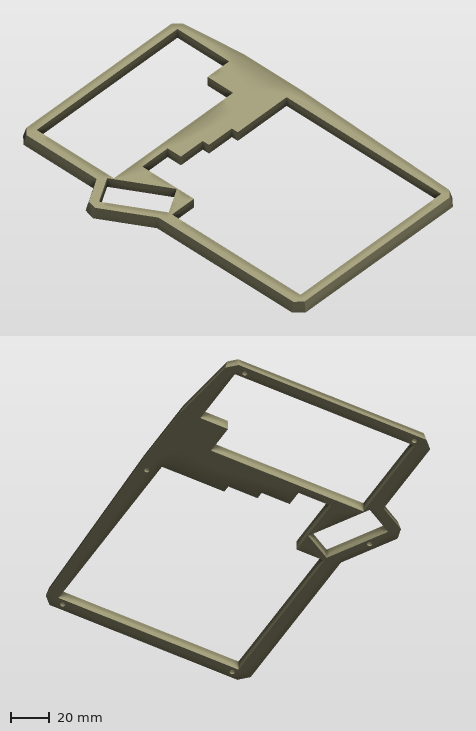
import cadquery as cq
import math

height = 6.0
wall_taper = 15.0
corner_cut = 5.0

frame_width = 199.0
shoulder_y = 120.8
crest_y = 125.0
crest_left_x = 44.5
crest_right_x = 86.0
side_wall = 6.7
bottom_wall = 8.1

window_right = frame_width - side_wall
window_top = 114.2
left_notch_x = 43.1
left_notch_y = 97.9
left_window_right = 61.0
stair_x = [83.5, 79.3, 74.9, 65.6]
stair_y = [77.4, 60.2, 43.7, 24.6]
right_notch_x = 101.9

thumb_angle = 30.0
thumb_corner = (67.7, -10.3)
thumb_length = 36.8
thumb_width = 18.5

hole_diameter = 2.9
hole_depth = 5.5
hole_side_inset = 3.7
hole_low_y = 10.0
hole_high_y = 110.0
crest_hole = (89.5, 119.7)
thumb_hole_along = 12.6
thumb_hole_outward = 2.8


def thumb_point(along, across):
    """Turn a place measured along the tilted thumb window into plate X, Y."""
    angle = math.radians(thumb_angle)
    x = thumb_corner[0] + along * math.cos(angle) - across * math.sin(angle)
    y = thumb_corner[1] + along * math.sin(angle) + across * math.cos(angle)
    return (x, y)


def thumb_wall_meets_bottom():
    """X where the two outer thumb walls meet the frame's bottom edge, y = 0."""
    angle = math.radians(thumb_angle)
    corner_x, corner_y = thumb_point(-side_wall, -side_wall)
    left_x = corner_x + corner_y * math.tan(angle)
    right_x = corner_x - corner_y / math.tan(angle)
    return left_x, right_x


def make_body():
    thumb_left_x, thumb_right_x = thumb_wall_meets_bottom()
    outline = [
        (corner_cut, 0),
        (thumb_left_x, 0),
        thumb_point(-side_wall, corner_cut - side_wall),
        thumb_point(corner_cut - side_wall, -side_wall),
        (thumb_right_x, 0),
        (frame_width - corner_cut, 0),
        (frame_width, corner_cut),
        (frame_width, shoulder_y - corner_cut),
        (frame_width - corner_cut, shoulder_y),
        (crest_right_x, crest_y),
        (crest_left_x, crest_y),
        (corner_cut, shoulder_y),
        (0, shoulder_y - corner_cut),
        (0, corner_cut),
    ]
    return cq.Workplane("XY").polyline(outline).close().extrude(height, taper=wall_taper)


def prism(points):
    return cq.Workplane("XY").polyline(points).close().extrude(height)


def left_window():
    return prism([
        (side_wall, bottom_wall),
        (left_window_right, bottom_wall),
        (left_window_right, left_notch_y),
        (left_notch_x, left_notch_y),
        (left_notch_x, window_top),
        (side_wall, window_top),
    ])


def right_window():
    points = [(window_right, bottom_wall), (window_right, window_top)]
    stair_top = window_top
    for left, bottom in zip(stair_x, stair_y):
        points.append((left, stair_top))
        points.append((left, bottom))
        stair_top = bottom
    points.append((right_notch_x, stair_top))
    points.append((right_notch_x, bottom_wall))
    return prism(points)


def thumb_window():
    return prism([
        thumb_point(0, 0),
        thumb_point(thumb_length, 0),
        thumb_point(thumb_length, thumb_width),
        thumb_point(0, thumb_width),
    ])


def screw_holes():
    centers = [
        (x, y)
        for x in (hole_side_inset, frame_width - hole_side_inset)
        for y in (hole_low_y, hole_high_y)
    ]
    centers.append(crest_hole)
    centers.append(thumb_point(thumb_hole_along, -thumb_hole_outward))
    return cq.Workplane("XY").pushPoints(centers).circle(hole_diameter / 2).extrude(hole_depth)


result = make_body()
for cutter in (left_window(), right_window(), thumb_window(), screw_holes()):
    result = result.cut(cutter)